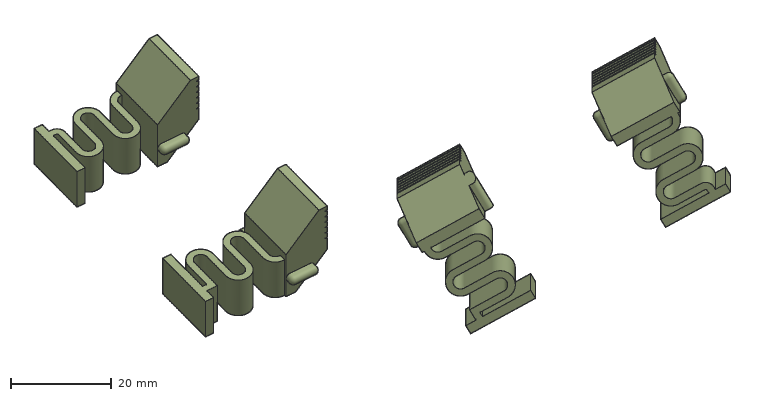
import cadquery as cq


jaw_width = 14.5
jaw_depth = 10.05
jaw_height = 19.75
jaw_top_flat = 2.05
jaw_top_slope = jaw_depth - jaw_top_flat
jaw_bottom_slope = 7.7
jaw_bottom_flat = jaw_depth - jaw_bottom_slope

notch_count = 6
notch_pitch = 1.5
notch_width = 0.45
notch_depth = 0.5
notch_first_drop = 1.2

pin_diameter = 2.05
pin_radius = pin_diameter / 2
pin_height = 5.0
pin_length = 6.85
pin_reach = 2.0
long_pin_reach = 2.1
pin_root = 0.65

spring_height = 10.0
spring_thickness = 1.5
spring_pitch = 4.5
bend_radius = spring_pitch / 2
run_count = 4
first_run_y = -2.5
last_run_y = first_run_y - (run_count - 1) * spring_pitch
outer_bend_x = -3.75
inner_bend_x = 2.8
leg_x = -4.4
leg_outer_radius = 1.9
leg_inner_radius = leg_outer_radius - spring_thickness
plate_width = 15.0
plate_thickness = 2.0
plate_drop = 1.8
plate_back_y = last_run_y - plate_drop

latch_spacing = 44.95


def block(x_range, y_range, z_range):
    """Box between pairs of limits along each axis."""
    sizes = [limits[1] - limits[0] for limits in (x_range, y_range, z_range)]
    corner = (x_range[0], y_range[0], z_range[0])
    return cq.Workplane("XY").box(*sizes, centered=False).translate(corner)


def make_jaw_prism(width):
    """Jaw side outline extruded symmetrically to the given width."""
    outline = [
        (0, 0),
        (jaw_bottom_flat, 0),
        (jaw_depth, jaw_bottom_slope),
        (jaw_depth, jaw_height),
        (jaw_top_slope, jaw_height),
        (0, jaw_height - jaw_top_slope),
    ]
    return cq.Workplane("YZ").polyline(outline).close().extrude(width / 2, both=True)


def make_jaw():
    """Jaw block with a column of V notches across its back."""
    jaw = make_jaw_prism(jaw_width)
    for index in range(notch_count):
        middle = jaw_height - notch_first_drop - index * notch_pitch
        notch_outline = [
            (jaw_depth, middle - notch_width / 2),
            (jaw_depth, middle + notch_width / 2),
            (jaw_depth - notch_depth, middle),
        ]
        notch = cq.Workplane("YZ").polyline(notch_outline).close().extrude(jaw_width, both=True)
        jaw = jaw.cut(notch)
    return jaw


def make_round_pin(reach):
    """Pin on the outer side, rounded along its nose and at both ends."""
    nose_x = -jaw_width / 2 - reach + pin_radius
    root_x = -jaw_width / 2 + pin_root
    web = (
        cq.Workplane("YZ", origin=(nose_x, pin_length / 2, pin_height))
        .slot2D(pin_length, pin_diameter)
        .extrude(root_x - nose_x)
    )
    end_positions = (pin_radius, pin_length - pin_radius)
    nose = (
        cq.Workplane("XZ", origin=(nose_x, end_positions[1], pin_height))
        .circle(pin_radius)
        .extrude(end_positions[1] - end_positions[0])
    )
    for y in end_positions:
        nose = nose.union(cq.Workplane("XY").sphere(pin_radius).translate((nose_x, y, pin_height)))
    return web.union(nose)


def make_flush_pin(reach):
    """Pin on the outer side with a round nose, its ends flush with the jaw's front and lower slope."""
    nose_x = -jaw_width / 2 - reach + pin_radius
    root_x = -jaw_width / 2 + pin_root
    bar = (
        cq.Workplane("XZ")
        .moveTo(root_x, pin_height - pin_radius)
        .lineTo(nose_x, pin_height - pin_radius)
        .threePointArc((nose_x - pin_radius, pin_height), (nose_x, pin_height + pin_radius))
        .lineTo(root_x, pin_height + pin_radius)
        .close()
        .extrude(-jaw_depth)
    )
    return bar.intersect(make_jaw_prism(jaw_width + 2 * reach))


def make_spring(rounded_leg):
    """Serpentine strip from the jaw to the mounting plate, including the plate."""
    start_x = outer_bend_x - bend_radius
    path = (
        cq.Workplane("XY")
        .moveTo(start_x, 0)
        .lineTo(start_x, first_run_y + bend_radius)
        .tangentArcPoint((outer_bend_x, first_run_y), relative=False)
    )
    for run in range(run_count - 1):
        bend_x = outer_bend_x if run % 2 else inner_bend_x
        run_y = first_run_y - run * spring_pitch
        path = path.lineTo(bend_x, run_y)
        path = path.tangentArcPoint((bend_x, run_y - spring_pitch), relative=False)
    leg_outer_x = leg_x - spring_thickness / 2
    path = path.lineTo(leg_outer_x, last_run_y)
    strip = (
        cq.Workplane("XZ", origin=(start_x, 0, spring_height / 2))
        .rect(spring_thickness, spring_height)
        .sweep(path.translate((0, 0, spring_height / 2)))
    )

    leg_inner_x = leg_x + spring_thickness / 2
    leg_top_y = last_run_y + spring_thickness / 2
    slit_top_y = last_run_y - spring_thickness / 2
    z_range = (0, spring_height)
    leg = block((leg_outer_x, leg_inner_x), (plate_back_y, leg_top_y), z_range)
    strip = strip.union(leg)
    if rounded_leg:
        outer_corner = cq.NearestToPointSelector((leg_outer_x, leg_top_y, spring_height / 2))
        inner_corner = cq.NearestToPointSelector((leg_inner_x, slit_top_y, spring_height / 2))
        strip = strip.edges(outer_corner).fillet(leg_outer_radius)
        strip = strip.edges(inner_corner).fillet(leg_inner_radius)

    plate_x_range = (-plate_width / 2, plate_width / 2)
    plate = block(plate_x_range, (plate_back_y - plate_thickness, plate_back_y), z_range)
    return strip.union(plate)


def make_latch(outer_pin, inner_pin, rounded_leg):
    """One latch; both pins are given as they would sit on the outer side."""
    return (
        make_jaw()
        .union(make_spring(rounded_leg))
        .union(outer_pin)
        .union(inner_pin.mirror("YZ"))
    )


left_latch = make_latch(
    make_round_pin(pin_reach), make_round_pin(pin_reach), rounded_leg=True
).translate((-latch_spacing / 2, 0, 0))

right_latch = (
    make_latch(make_round_pin(long_pin_reach), make_flush_pin(pin_reach), rounded_leg=False)
    .mirror("YZ")
    .translate((latch_spacing / 2, 0, 0))
)

result = cq.Compound.makeCompound([*left_latch.solids().vals(), *right_latch.solids().vals()])